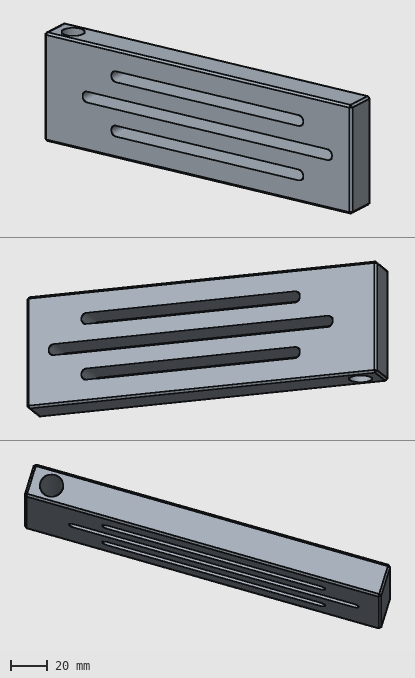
import cadquery as cq

length = 203.2
thickness = 19.05
height = 63.5
edge_chamfer = 1.27

slot_width = 6.35
slot_pitch = height / 4
slot_center_x = 6.35
middle_slot_length = 165.1
outer_slot_length = 127.0

hole_diameter = 12.7
hole_end_distance = 12.7


def make_plate():
    """Rectangular plate centred on the origin, with every edge chamfered."""
    return cq.Workplane("XY").box(length, thickness, height).edges().chamfer(edge_chamfer)


def make_slot(slot_length, center_z):
    """Round-ended cutter running right through the plate along Y."""
    return (
        cq.Workplane("XZ")
        .center(slot_center_x, center_z)
        .slot2D(slot_length, slot_width)
        .extrude(thickness, both=True)
    )


def make_pivot_hole():
    """Cylindrical cutter running right through the plate along Z."""
    hole_x = -length / 2 + hole_end_distance
    return (
        cq.Workplane("XY")
        .center(hole_x, 0)
        .circle(hole_diameter / 2)
        .extrude(height, both=True)
    )


result = make_plate().cut(make_pivot_hole())
result = result.cut(make_slot(middle_slot_length, 0))
for side in (-1, 1):
    result = result.cut(make_slot(outer_slot_length, side * slot_pitch))